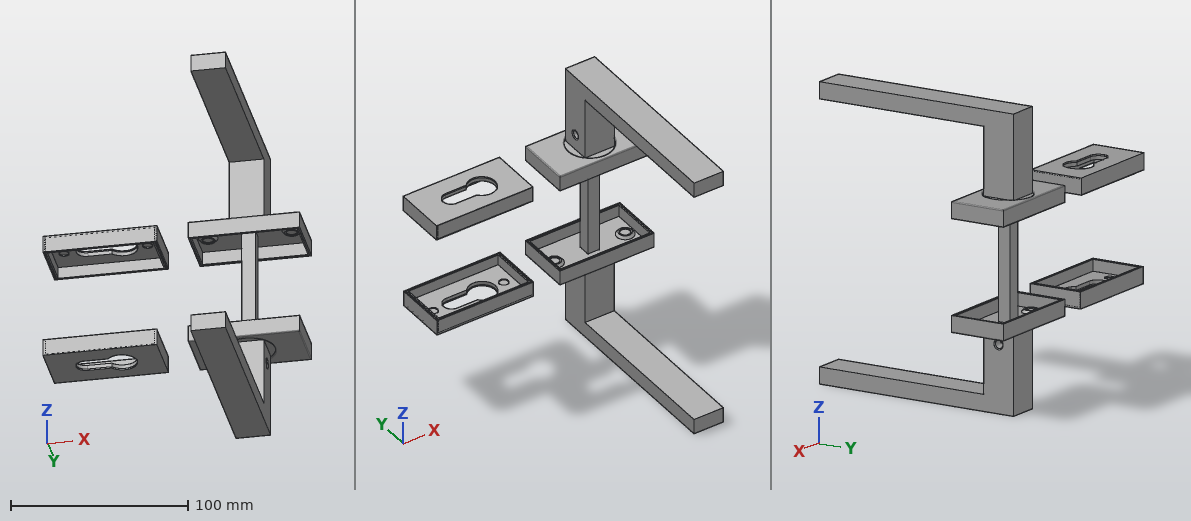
import cadquery as cq

door_gap = 56.5
plate_height = 10.0
lever_projection = 50.0
plate_back = door_gap / 2
plate_face = plate_back + plate_height
lever_top = plate_face + lever_projection

neck_width = 20.0
grip_height = 10.0
lever_length = 130.0
screw_hole_diameter = 5.0
screw_countersink_diameter = 6.2
screw_hole_height = 9.4

spindle_width = 8.0
spindle_insertion = 11.1
spindle_end_radius = 1.2

rosette_length = 64.1
rosette_width = 34.8
rosette_wall = 1.8
rosette_floor = 2.1
rosette_edge_radius = 0.5
rim_step_width = 0.9
rim_step_depth = 0.2
seat_diameter = 29.0
seat_depth = 0.7

screw_spacing = 48.0
boss_base_diameter = 11.1
boss_top_diameter = 8.1
boss_height = 1.6
boss_hole_diameter = 6.4
blind_hole_depth = 0.7

escutcheon_x = -82.9
escutcheon_length = 65.5
escutcheon_width = 33.7
lower_escutcheon_shift = -0.5
cover_thickness = 0.9
cover_wall = 0.7
tray_wall = 0.9
tray_floor = 2.3
tray_end_gap = 0.7
tray_hole_diameter = 5.8

barrel_diameter = 17.7
barrel_x = 9.4
keyway_width = 11.0
keyway_end_x = -11.5

cavity_length = escutcheon_length - 2 * cover_wall
cavity_width = escutcheon_width - 2 * cover_wall
cavity_top = plate_face - cover_thickness
screw_centres = [(-screw_spacing / 2, 0), (screw_spacing / 2, 0)]


def block(length, width, bottom, top):
    """Box centred on the Z axis between two heights."""
    return cq.Workplane("XY", origin=(0, 0, bottom)).rect(length, width).extrude(top - bottom)


def rods(centres, diameter, bottom, top):
    """Vertical cylinders at the given centres between two heights."""
    plane = cq.Workplane("XY", origin=(0, 0, bottom))
    return plane.pushPoints(centres).circle(diameter / 2).extrude(top - bottom)


def cone(plane, origin, start_diameter, end_diameter, length):
    """Frustum that runs along the plane's normal."""
    start = cq.Workplane(plane, origin=origin).circle(start_diameter / 2)
    return start.workplane(offset=length).circle(end_diameter / 2).loft()


def make_spindle():
    """Square bar through the door, rounded on two edges of each end."""
    end = plate_face - seat_depth + spindle_insertion
    bar = block(spindle_width, spindle_width, -end, end)
    return bar.faces("<Z or >Z").edges("|Y").fillet(spindle_end_radius)


def make_lever(spindle):
    """Square neck and flat grip, with a socket for the spindle and a screw hole into it."""
    neck_bottom = plate_face - seat_depth
    back = neck_width / 2
    tip = back - lever_length
    grip_bottom = lever_top - grip_height
    outline = [
        (back, neck_bottom),
        (back, lever_top),
        (tip, lever_top),
        (tip, grip_bottom),
        (-back, grip_bottom),
        (-back, neck_bottom),
    ]
    lever = cq.Workplane("YZ").polyline(outline).close().extrude(neck_width / 2, both=True)

    screw_start = (-neck_width / 2, 0, plate_face + screw_hole_height)
    screw_plane = cq.Workplane("YZ", origin=screw_start)
    screw_hole = screw_plane.circle(screw_hole_diameter / 2).extrude(neck_width / 2)
    countersink_depth = (screw_countersink_diameter - screw_hole_diameter) / 2
    countersink = cone(
        "YZ", screw_start, screw_countersink_diameter, screw_hole_diameter, countersink_depth
    )
    return lever.cut(screw_hole).cut(countersink).cut(spindle)


def make_rosette(spindle):
    """Hollow plate with a round seat for the lever and two screw bosses inside."""
    floor = plate_face - rosette_floor
    boss_end = floor - boss_height
    rosette = block(rosette_length, rosette_width, plate_back, plate_face)

    seat = rods([(0, 0)], seat_diameter, plate_face - seat_depth, plate_face)
    rosette = rosette.cut(seat).faces(">Z").edges().fillet(rosette_edge_radius)

    hollow = block(rosette_length - 2 * rosette_wall, rosette_width - 2 * rosette_wall, plate_back, floor)
    step = block(
        rosette_length - 2 * rim_step_width,
        rosette_width - 2 * rim_step_width,
        plate_back,
        plate_back + rim_step_depth,
    )
    rosette = rosette.cut(hollow).cut(step)

    for x, y in screw_centres:
        boss = cone("XY", (x, y, floor), boss_base_diameter, boss_top_diameter, -boss_height)
        rosette = rosette.union(boss)
    boss_holes = rods(screw_centres, boss_hole_diameter, boss_end, boss_end + blind_hole_depth)
    return rosette.cut(boss_holes).cut(spindle)


def make_keyhole():
    """Cutter for the keyhole: a round barrel opening and a round-ended slot."""
    barrel = rods([(barrel_x, 0)], barrel_diameter, plate_back, plate_face)
    end = rods([(keyway_end_x, 0)], keyway_width, plate_back, plate_face)
    slot = block(barrel_x - keyway_end_x, keyway_width, plate_back, plate_face)
    return barrel.union(end).union(slot.translate(((barrel_x + keyway_end_x) / 2, 0, 0)))


def make_cover(keyhole):
    """Outer shell of the escutcheon, open towards the door."""
    cover = block(escutcheon_length, escutcheon_width, plate_back, plate_face)
    return cover.cut(block(cavity_length, cavity_width, plate_back, cavity_top)).cut(keyhole)


def make_tray(keyhole):
    """Tray inside the cover, with a gap to the cover at both ends."""
    length = cavity_length - 2 * tray_end_gap
    floor = cavity_top - tray_floor
    tray = block(length, cavity_width, plate_back, cavity_top)
    hollow = block(length - 2 * tray_wall, cavity_width - 2 * tray_wall, plate_back, floor)
    blind_holes = rods(screw_centres, tray_hole_diameter, floor, floor + blind_hole_depth)
    return tray.cut(hollow).cut(blind_holes).cut(keyhole)


spindle = make_spindle()
bodies = [spindle]

for body in (make_lever(spindle), make_rosette(spindle)):
    bodies.append(body)
    bodies.append(body.rotate((0, 0, 0), (0, 1, 0), 180))

keyhole = make_keyhole()
for body in (make_cover(keyhole), make_tray(keyhole)):
    bodies.append(body.translate((escutcheon_x, 0, 0)))
    bodies.append(body.mirror("XY").translate((escutcheon_x, lower_escutcheon_shift, 0)))

result = cq.Compound.makeCompound([body.val() for body in bodies])